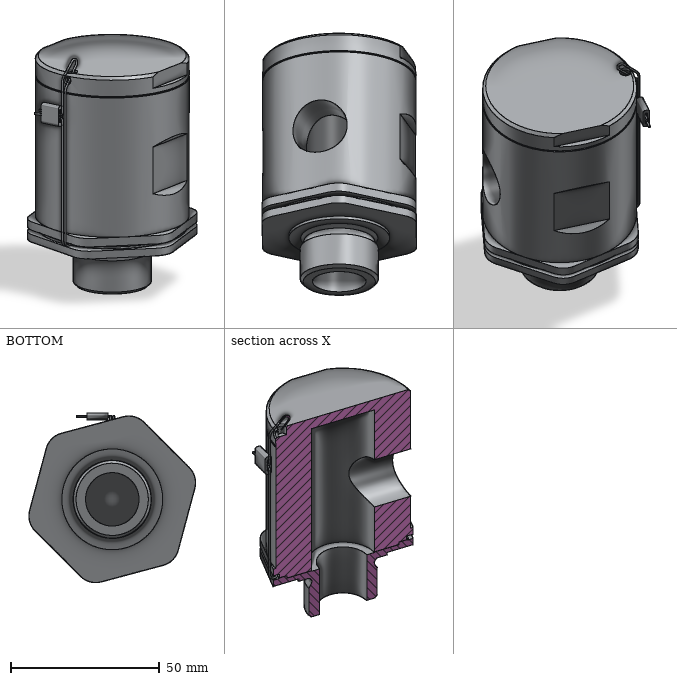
import cadquery as cq
import math

FLANGE_BOTTOM = 15.9
LOWER_HEX_BOTTOM = 16.9
LOWER_HEX_TOP = 19.65
UPPER_HEX_BOTTOM = 21.2
UPPER_HEX_TOP = 24.1
HOUSING_TOP = 80.4
TOTAL_HEIGHT = 84.7

HOUSING_RADIUS = 52.0 / 2
RIM_CHAMFER = 1.0
HEX_CORNER_RADIUS = 7.3
HEX_TURN = 15.0
NECK_RADIUS = 49.0 / 2
REGISTER_RADIUS = 43.2 / 2
REGISTER_DEPTH = 1.0
SEAM_Z = 73.4
SEAM_WIDTH = 0.5
SEAM_DEPTH = 0.25
FLAT_OFFSET = 24.05
TOP_FLAT_BOTTOM = 75.4
PORT_Z = 46.5
MIDDLE_FLAT_HEIGHT = 16.4
CHAMBER_RADIUS = 24.0 / 2
CHAMBER_TOP = 76.1
PORT_RADIUS = 19.0 / 2

FRONT_HOLE_RADIUS = 2.0 / 2
FRONT_HOLE_Z = 78.0
TOP_HOLE_RADIUS = 3.0 / 2
TOP_HOLE_Y = -23.4
HOLE_CHAMFER = 0.5

FLANGE_RADIUS = 34.0 / 2
THREAD_RADIUS = 26.4 / 2
RELIEF_RADIUS = 24.0 / 2
RELIEF_WAIST = 14.65
RELIEF_TOP_RADIUS = 13.0
RELIEF_BOTTOM_RADIUS = 12.3
RELIEF_BOTTOM = 13.6
THREAD_TOP = 12.0
THREAD_CHAMFER = 1.0
BORE_RADIUS = 18.0 / 2

WIRE_RADIUS = 0.7 / 2
WIRE_CLEARANCE = 0.04
STRAND_X = 0.5
STRAND_Y = -27.9
RING_RADIUS = NECK_RADIUS + WIRE_RADIUS + WIRE_CLEARANCE
RING_Z = LOWER_HEX_TOP + WIRE_RADIUS + WIRE_CLEARANCE
RING_BEND = 1.3
FOOT_BEND = 1.7
TOP_BEND = 3.0
LOOP_BEND = 1.3
LOOP_Y = -21.9
LOOP_Z = TOTAL_HEIGHT - WIRE_RADIUS - LOOP_BEND
LOOP_X_OUTER = -0.1
LOOP_X_INNER = 0.1
CRIMP_X = -5.0
CRIMP_Z = 65.5
CRIMP_SIZE = 7.2
CRIMP_THICKNESS = 2.45
CRIMP_EDGE_RADIUS = 2.0 / 2
CRIMP_SLOT_WIDTH = 0.8
CRIMP_SLOT_LENGTH = 4.6
CRIMP_SLOT_DEPTH = 0.7
CRIMP_BEND = 0.85
TAIL_SPACING = 1.2
UPPER_TAIL_X = -10.2
LOWER_TAIL_X = -12.0
LOWER_TAIL_DROP = 0.3


def cylinder(radius, bottom, top):
    return cq.Workplane("XY").workplane(offset=bottom).circle(radius).extrude(top - bottom)


def hex_plate(bottom, top):
    """Hexagonal plate with rounded corners, its flats tangent to the housing wall."""
    corner_diameter = 2 * HOUSING_RADIUS / math.cos(math.radians(30))
    plate = (
        cq.Workplane("XY")
        .workplane(offset=bottom)
        .polygon(6, corner_diameter)
        .extrude(top - bottom)
        .edges("|Z")
        .fillet(HEX_CORNER_RADIUS)
    )
    return plate.rotate((0, 0, 0), (0, 0, 1), 30 + HEX_TURN)



def seam_groove():
    """Shallow V groove around the housing below the rim."""
    return (
        cq.Workplane("XZ")
        .moveTo(HOUSING_RADIUS, SEAM_Z - SEAM_WIDTH / 2)
        .lineTo(HOUSING_RADIUS - SEAM_DEPTH, SEAM_Z)
        .lineTo(HOUSING_RADIUS, SEAM_Z + SEAM_WIDTH / 2)
        .close()
        .revolve(360, (0, 0, 0), (0, 1, 0))
    )


def flat_cutters(side):
    """Cutters for the rim flat and the sloped-ended middle flat; side is +1 or -1."""
    flat_depth = HOUSING_RADIUS - FLAT_OFFSET
    length = 2 * HOUSING_RADIUS
    inner = side * FLAT_OFFSET
    outer = side * HOUSING_RADIUS
    half = MIDDLE_FLAT_HEIGHT / 2
    middle = (
        cq.Workplane("XZ")
        .moveTo(inner, PORT_Z - half)
        .lineTo(outer, PORT_Z - half - flat_depth)
        .lineTo(outer, PORT_Z + half + flat_depth)
        .lineTo(inner, PORT_Z + half)
        .close()
        .extrude(length / 2, both=True)
    )
    rim = (
        cq.Workplane("XZ")
        .moveTo(inner, TOP_FLAT_BOTTOM)
        .lineTo(outer, TOP_FLAT_BOTTOM)
        .lineTo(outer, HOUSING_TOP)
        .lineTo(inner, HOUSING_TOP)
        .close()
        .extrude(length / 2, both=True)
    )
    return [middle, rim]


def chamfered_hole(radius, depth):
    """Drill shape along +Z from the origin, wider at its mouth at the origin."""
    mouth = radius + HOLE_CHAMFER
    return (
        cq.Workplane("XZ")
        .polyline([(0, 0), (mouth, 0), (radius, HOLE_CHAMFER), (radius, depth), (0, depth)])
        .close()
        .revolve(360, (0, 0, 0), (0, 1, 0))
    )


def wire_holes():
    """A hole down from the rim and a hole in from the -Y wall that meets it."""
    top_depth = HOUSING_TOP - FRONT_HOLE_Z + FRONT_HOLE_RADIUS
    top_hole = (
        chamfered_hole(TOP_HOLE_RADIUS, top_depth)
        .rotate((0, 0, 0), (1, 0, 0), 180)
        .translate((0, TOP_HOLE_Y, HOUSING_TOP))
    )
    front_hole = (
        chamfered_hole(FRONT_HOLE_RADIUS, HOUSING_RADIUS + TOP_HOLE_Y)
        .rotate((0, 0, 0), (1, 0, 0), -90)
        .translate((0, -HOUSING_RADIUS, FRONT_HOLE_Z))
    )
    return [top_hole, front_hole]


def side_port():
    """Hole through the +Y wall into the chamber."""
    return (
        cq.Workplane("XZ", origin=(0, 0, PORT_Z))
        .circle(PORT_RADIUS)
        .extrude(-HOUSING_RADIUS)
    )


def make_housing():
    barrel = cylinder(HOUSING_RADIUS, UPPER_HEX_BOTTOM, HOUSING_TOP).faces(">Z").chamfer(RIM_CHAMFER)
    register_bottom = LOWER_HEX_TOP - REGISTER_DEPTH
    housing = (
        barrel
        .union(hex_plate(UPPER_HEX_BOTTOM, UPPER_HEX_TOP))
        .union(cylinder(NECK_RADIUS, LOWER_HEX_TOP, UPPER_HEX_BOTTOM))
        .union(cylinder(REGISTER_RADIUS, register_bottom, LOWER_HEX_TOP))
        .cut(seam_groove())
        .cut(cylinder(CHAMBER_RADIUS, register_bottom, CHAMBER_TOP))
        .cut(side_port())
    )
    for cutter in flat_cutters(1) + flat_cutters(-1) + wire_holes():
        housing = housing.cut(cutter)
    return housing



def make_fitting():
    """Lower hexagonal plate with its flange, thread relief and plain-cylinder thread."""
    stem = (
        cq.Workplane("XZ")
        .moveTo(0, 0)
        .lineTo(THREAD_RADIUS - THREAD_CHAMFER, 0)
        .lineTo(THREAD_RADIUS, THREAD_CHAMFER)
        .lineTo(THREAD_RADIUS, THREAD_TOP)
        .lineTo(RELIEF_BOTTOM_RADIUS, RELIEF_BOTTOM)
        .lineTo(RELIEF_RADIUS, RELIEF_WAIST)
        .lineTo(RELIEF_TOP_RADIUS, FLANGE_BOTTOM)
        .lineTo(FLANGE_RADIUS, FLANGE_BOTTOM)
        .lineTo(FLANGE_RADIUS, LOWER_HEX_BOTTOM)
        .lineTo(0, LOWER_HEX_BOTTOM)
        .close()
        .revolve(360, (0, 0, 0), (0, 1, 0))
    )
    return (
        hex_plate(LOWER_HEX_BOTTOM, LOWER_HEX_TOP)
        .union(stem)
        .cut(cylinder(REGISTER_RADIUS, LOWER_HEX_TOP - REGISTER_DEPTH, LOWER_HEX_TOP))
        .cut(cylinder(BORE_RADIUS, 0, LOWER_HEX_TOP))
    )



def rounded_path(points, bends):
    """Edges of a 3D polyline whose inner corners are rounded to the given bend radii."""
    edges = []
    start = cq.Vector(*points[0])
    for before, corner, after, bend in zip(points, points[1:], points[2:], bends):
        corner = cq.Vector(*corner)
        back = (cq.Vector(*before) - corner).normalized()
        ahead = (cq.Vector(*after) - corner).normalized()
        half_angle = back.getAngle(ahead) / 2
        setback = bend / math.tan(half_angle)
        to_arc = bend / math.sin(half_angle) - bend
        arc_start = corner + back * setback
        arc_middle = corner + (back + ahead).normalized() * to_arc
        arc_end = corner + ahead * setback
        edges.append(cq.Edge.makeLine(start, arc_start))
        edges.append(cq.Edge.makeThreePointArc(arc_start, arc_middle, arc_end))
        start = arc_end
    edges.append(cq.Edge.makeLine(start, cq.Vector(*points[-1])))
    return edges


def ring_path(strand_foot_y, bend_centre_x):
    """Ring around the neck, with a bend at each end that turns outward into a strand."""
    reach = RING_RADIUS + RING_BEND
    join = cq.Vector(bend_centre_x, strand_foot_y, 0) * (RING_RADIUS / reach)
    bend_turn = math.atan2(-strand_foot_y, bend_centre_x)
    middle_angle = (math.pi + bend_turn) / 2
    bend_middle_x = bend_centre_x + RING_BEND * math.cos(middle_angle)
    bend_middle_y = strand_foot_y + RING_BEND * math.sin(middle_angle)

    def arc(*corners):
        return cq.Edge.makeThreePointArc(*[cq.Vector(x, y, RING_Z) for x, y in corners])

    return [
        arc((STRAND_X, strand_foot_y), (bend_middle_x, bend_middle_y), (join.x, join.y)),
        arc((join.x, join.y), (0, RING_RADIUS), (-join.x, join.y)),
        arc((-join.x, join.y), (-bend_middle_x, bend_middle_y), (-STRAND_X, strand_foot_y)),
    ]


def make_wire():
    """One wire: crimp, loop through the rim, down, around the neck and back to the crimp."""
    bend_centre_x = STRAND_X + RING_BEND
    foot_y = -math.sqrt((RING_RADIUS + RING_BEND) ** 2 - bend_centre_x ** 2)
    upper_tail_z = CRIMP_Z + TAIL_SPACING / 2
    lower_tail_z = CRIMP_Z - TAIL_SPACING / 2
    loop_corner = math.sqrt(2) * LOOP_BEND
    outer_head_z = LOOP_Z + loop_corner - LOOP_Y + STRAND_Y
    inner_head_z = LOOP_Z - loop_corner - LOOP_Y + STRAND_Y

    over_the_rim = rounded_path(
        [
            (UPPER_TAIL_X, STRAND_Y, upper_tail_z),
            (-STRAND_X, STRAND_Y, upper_tail_z),
            (-STRAND_X, STRAND_Y, outer_head_z),
            (LOOP_X_OUTER, LOOP_Y, LOOP_Z + loop_corner),
            (LOOP_X_INNER, LOOP_Y + loop_corner, LOOP_Z),
            (STRAND_X, STRAND_Y, inner_head_z),
            (STRAND_X, STRAND_Y, RING_Z),
            (STRAND_X, foot_y, RING_Z),
        ],
        [CRIMP_BEND, TOP_BEND, LOOP_BEND, LOOP_BEND, TOP_BEND, FOOT_BEND],
    )
    back_to_crimp = rounded_path(
        [
            (-STRAND_X, foot_y, RING_Z),
            (-STRAND_X, STRAND_Y, RING_Z),
            (-STRAND_X, STRAND_Y, lower_tail_z),
            (CRIMP_X, STRAND_Y, lower_tail_z),
            (LOWER_TAIL_X, STRAND_Y, lower_tail_z - LOWER_TAIL_DROP),
        ],
        [FOOT_BEND, CRIMP_BEND, CRIMP_BEND],
    )
    path = cq.Wire.assembleEdges(over_the_rim + ring_path(foot_y, bend_centre_x) + back_to_crimp)
    return (
        cq.Workplane("YZ", origin=(UPPER_TAIL_X, STRAND_Y, upper_tail_z))
        .circle(WIRE_RADIUS)
        .sweep(cq.Workplane(path))
    )


def make_crimp():
    """Round-edged square block with a slot in each end, where the wire enters and leaves."""
    centre = (CRIMP_X, STRAND_Y, CRIMP_Z)
    crimp = (
        cq.Workplane("XY", origin=centre)
        .box(CRIMP_SIZE, CRIMP_THICKNESS, CRIMP_SIZE)
        .edges("|X")
        .fillet(CRIMP_EDGE_RADIUS)
    )
    slot = (
        cq.Workplane("YZ", origin=centre)
        .slot2D(CRIMP_SLOT_LENGTH, CRIMP_SLOT_WIDTH, 90)
        .extrude(CRIMP_SLOT_DEPTH / 2, both=True)
    )
    slot_shift = (CRIMP_SIZE - CRIMP_SLOT_DEPTH) / 2
    for side in (1, -1):
        crimp = crimp.cut(slot.translate((side * slot_shift, 0, 0)))
    return crimp


def make_seal():
    return make_crimp().union(make_wire())


housing = make_housing()
fitting = make_fitting()
seal = make_seal()

result = cq.Compound.makeCompound([housing.solids().val(), fitting.solids().val(), seal.solids().val()])